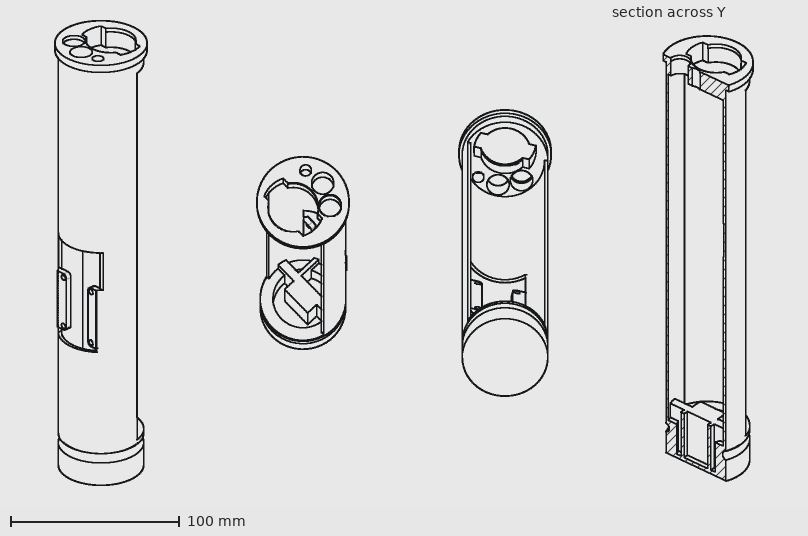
import cadquery as cq
import math

TOTAL_HEIGHT = 285.72
TUBE_DIAMETER = 50.8
BORE_DIAMETER = 46.8
FLANGE_DIAMETER = 54.8
FLANGE_THICKNESS = 4.8
FLOOR_TOP = 24.4
HEAD_THICKNESS = 13.0
HEAD_BOTTOM = TOTAL_HEIGHT - HEAD_THICKNESS

BACK_CUT_Y = 6.35

GROOVE_BOTTOM = 15.2
GROOVE_TOP = 21.5
GROOVE_DEPTH = 2.3

MAIN_CENTER = (1.65, 6.45)
MAIN_DIAMETER = 29.75
MAIN_LIP_DIAMETER = 29.85
LIP_DEPTH = 2.5
WING_DIAMETER = 36.9
WING_WIDTH = 15.5
SIDE_HOLE_CENTER = (-12.7, -10.1)
SIDE_HOLE_DIAMETER = 13.2
SIDE_LIP_DIAMETER = 13.3
FRONT_HOLE_CENTER = (0.1, -16.2)
FRONT_HOLE_DIAMETER = 13.2
SMALL_HOLE_CENTER = (12.7, -14.3)
SMALL_HOLE_DIAMETER = 6.8

WINDOW_BOTTOM = 90.1
WINDOW_STEP = 132.2
WINDOW_TOP = 157.4
WINDOW_FLAT_Y = -16.4
WINDOW_LOWER_WIDTH = 2 * math.sqrt((BORE_DIAMETER / 2) ** 2 - WINDOW_FLAT_Y**2)

PLATE_FRONT_Y = -19.8
PLATE_BACK_Y = -16.1
LEFT_PLATE_EDGE = -8.9
LEFT_PLATE_BOTTOM = 94.2
RIGHT_PLATE_EDGE = 9.9
RIGHT_PLATE_BOTTOM = 92.6
SCREW_DIAMETER = 3.3
SCREW_INSET = 2.6

POCKET_DIAMETER = 35.56
POCKET_FLOOR = 3.0
HOLDER_HEIGHT = 10.0
HOLDER_TOP = FLOOR_TOP + HOLDER_HEIGHT
HOLDER_FRONT_Y = -7.3
HOLDER_WALL_BACK_Y = -1.8
HOLDER_BLOCK_BACK_Y = 5.6
HOLDER_BLOCK_WIDTH = 19.8
FIN_INNER_X = 9.0
FIN_OUTER_X = 11.6


def box(x_range, y_range, z_range):
    """Box between the given limits on each axis."""
    corner = (x_range[0], y_range[0], z_range[0])
    size = (x_range[1] - x_range[0], y_range[1] - y_range[0], z_range[1] - z_range[0])
    return cq.Workplane("XY").box(*size, centered=False).translate(corner)


def cylinder(diameter, bottom, top, center=(0.0, 0.0)):
    """Upright cylinder between two heights."""
    return cq.Workplane("XY", origin=(*center, bottom)).circle(diameter / 2).extrude(top - bottom)


def make_shell():
    """Tube with a solid foot, a solid head with flange, and an open back."""
    shell = cylinder(TUBE_DIAMETER, 0, TOTAL_HEIGHT)
    shell = shell.union(cylinder(FLANGE_DIAMETER, TOTAL_HEIGHT - FLANGE_THICKNESS, TOTAL_HEIGHT))
    shell = shell.cut(cylinder(BORE_DIAMETER, FLOOR_TOP, HEAD_BOTTOM))
    reach = FLANGE_DIAMETER / 2
    return shell.cut(box((-reach, reach), (BACK_CUT_Y, reach), (FLOOR_TOP, HEAD_BOTTOM)))


def make_groove():
    """Ring with an arc section that is cut around the foot."""
    radius = TUBE_DIAMETER / 2
    middle = (radius - GROOVE_DEPTH, (GROOVE_BOTTOM + GROOVE_TOP) / 2)
    section = (
        cq.Workplane("XZ")
        .moveTo(radius, GROOVE_BOTTOM)
        .threePointArc(middle, (radius, GROOVE_TOP))
        .lineTo(FLANGE_DIAMETER / 2, GROOVE_TOP)
        .lineTo(FLANGE_DIAMETER / 2, GROOVE_BOTTOM)
        .close()
    )
    return section.revolve(360, (0, 0), (0, 1))


def make_head_openings():
    """Winged main opening and three round holes through the head."""
    lip_bottom = TOTAL_HEIGHT - LIP_DEPTH
    center_x, center_y = MAIN_CENTER
    openings = cylinder(WING_DIAMETER, HEAD_BOTTOM, TOTAL_HEIGHT, MAIN_CENTER).intersect(
        box(
            (center_x - WING_DIAMETER, center_x + WING_DIAMETER),
            (center_y - WING_WIDTH / 2, center_y + WING_WIDTH / 2),
            (HEAD_BOTTOM, TOTAL_HEIGHT),
        )
    )
    for center, diameter in (
        (MAIN_CENTER, MAIN_DIAMETER),
        (SIDE_HOLE_CENTER, SIDE_HOLE_DIAMETER),
        (FRONT_HOLE_CENTER, FRONT_HOLE_DIAMETER),
        (SMALL_HOLE_CENTER, SMALL_HOLE_DIAMETER),
    ):
        openings = openings.union(cylinder(diameter, HEAD_BOTTOM, TOTAL_HEIGHT, center))
    for center, diameter in (
        (MAIN_CENTER, MAIN_LIP_DIAMETER),
        (SIDE_HOLE_CENTER, SIDE_LIP_DIAMETER),
    ):
        openings = openings.union(cylinder(diameter, lip_bottom, TOTAL_HEIGHT, center))
    return openings


def make_window():
    """Stepped opening through the front wall."""
    front = -FLANGE_DIAMETER / 2
    upper = box((front, -front), (front, WINDOW_FLAT_Y), (WINDOW_STEP, WINDOW_TOP))
    half_width = WINDOW_LOWER_WIDTH / 2
    lower = box((-half_width, half_width), (front, PLATE_BACK_Y), (WINDOW_BOTTOM, WINDOW_STEP))
    return upper.union(lower)


def make_screw_plate(inner_edge, bottom):
    """Plate beside the lower window, with a screw hole in each rounded inner corner."""
    side = math.copysign(1, inner_edge)
    outer_edge = side * WINDOW_LOWER_WIDTH / 2
    plate = box(
        sorted((inner_edge, outer_edge)),
        (PLATE_FRONT_Y, PLATE_BACK_Y),
        (bottom, WINDOW_STEP),
    )
    inner_side = "<X" if side > 0 else ">X"
    plate = plate.faces(inner_side).edges("|Y").fillet(SCREW_INSET)
    for height in (bottom + SCREW_INSET, WINDOW_STEP - SCREW_INSET):
        screw_hole = (
            cq.Workplane("XZ", origin=(inner_edge + side * SCREW_INSET, PLATE_BACK_Y, height))
            .circle(SCREW_DIAMETER / 2)
            .extrude(PLATE_BACK_Y - PLATE_FRONT_Y)
        )
        plate = plate.cut(screw_hole)
    return plate


def make_holder():
    """Cross wall with a central block behind it and two fins in front of it."""
    reach = TUBE_DIAMETER / 2
    heights = (POCKET_FLOOR, HOLDER_TOP)
    half_block = HOLDER_BLOCK_WIDTH / 2
    holder = box((-reach, reach), (HOLDER_FRONT_Y, HOLDER_WALL_BACK_Y), heights)
    holder = holder.union(
        box((-half_block, half_block), (HOLDER_FRONT_Y, HOLDER_BLOCK_BACK_Y), heights)
    )
    for fin_x in ((-FIN_OUTER_X, -FIN_INNER_X), (FIN_INNER_X, FIN_OUTER_X)):
        holder = holder.union(box(fin_x, (-reach, HOLDER_FRONT_Y), heights))
    return holder.intersect(cylinder(BORE_DIAMETER, *heights))


result = make_shell()
result = result.cut(cylinder(POCKET_DIAMETER, POCKET_FLOOR, FLOOR_TOP))
result = result.union(make_holder())
result = result.cut(make_groove())
result = result.cut(make_head_openings())
result = result.cut(make_window())
result = result.union(make_screw_plate(LEFT_PLATE_EDGE, LEFT_PLATE_BOTTOM))
result = result.union(make_screw_plate(RIGHT_PLATE_EDGE, RIGHT_PLATE_BOTTOM))